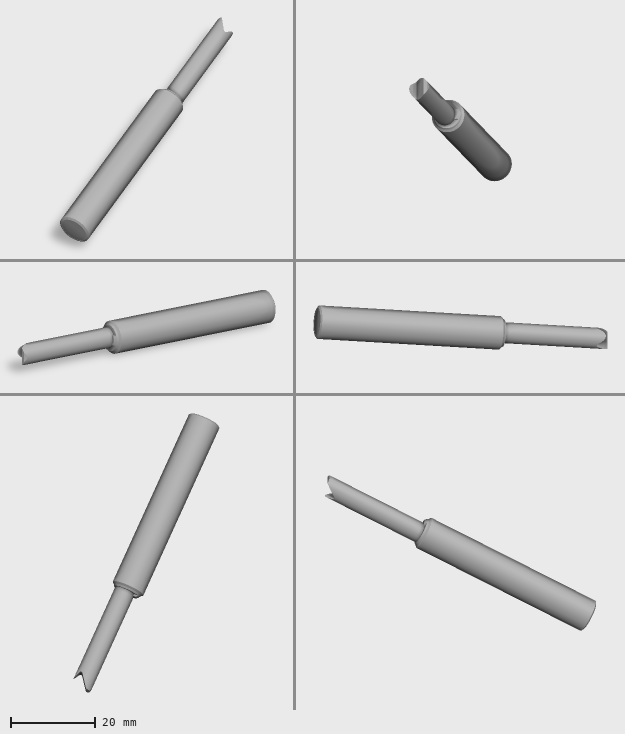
import cadquery as cq
import math

total_length = 71.15
barrel_radius = 8.0 / 2
plunger_radius = 5 / 2
plunger_offset_x = 0.4
slug_radius = 6.5 / 2

barrel_length = 44.6
rear_lip_depth = 0.35
rear_slug_recess = 0.1
rear_lip_radius = 3.5
front_lip_depth = 0.4
front_lip_radius = 3.5
shoulder_y = 45.45

tab_height = 0.5
tab_width = 2.4
tab_inner_x = 1.9

notch_start_x = -1.35
notch_root_x = 1.4
notch_root_depth = 3.6
notch_root_radius = 0.4
wing_angle = math.radians(65)
tip_flat_width = 0.3
tip_flat_length = 0.7


def revolve_profile(points):
    """Revolve (radius, Y) points around the Y axis."""
    return cq.Workplane("XY").polyline(points).close().revolve(360, (0, 0), (0, 1))


def make_barrel():
    return revolve_profile([
        (0, rear_slug_recess),
        (slug_radius, rear_slug_recess),
        (slug_radius, 0),
        (rear_lip_radius, 0),
        (barrel_radius, rear_lip_depth),
        (barrel_radius, barrel_length),
        (front_lip_radius, barrel_length + front_lip_depth),
        (slug_radius, shoulder_y),
        (0, shoulder_y),
    ])


def make_key_tab():
    """A slice of a 45 degree cone standing on the shoulder."""
    cone = revolve_profile([
        (0, shoulder_y),
        (slug_radius, shoulder_y),
        (slug_radius - tab_height, shoulder_y + tab_height),
        (0, shoulder_y + tab_height),
    ])
    slice_depth = slug_radius - tab_inner_x
    limits = cq.Workplane("XY").box(slice_depth, tab_height, tab_width).translate(
        (-(slug_radius + tab_inner_x) / 2, shoulder_y + tab_height / 2, 0)
    )
    return cone.intersect(limits)


def make_plunger():
    return revolve_profile([
        (0, shoulder_y),
        (plunger_radius, shoulder_y),
        (plunger_radius, total_length),
        (0, total_length),
    ])


def make_tip_notch():
    root_y = total_length - notch_root_depth
    wing_end_x = notch_root_x + notch_root_depth / math.tan(wing_angle)
    return (
        cq.Workplane("XY")
        .moveTo(notch_start_x, total_length)
        .lineTo(notch_root_x, root_y)
        .lineTo(wing_end_x, total_length)
        .close()
        .extrude(plunger_radius, both=True)
        .edges(cq.selectors.NearestToPointSelector((notch_root_x, root_y, 0)))
        .fillet(notch_root_radius)
    )


def make_tip_flat():
    """Wedge that bevels the -X edge of the tip."""
    return (
        cq.Workplane("XY")
        .moveTo(-plunger_radius, total_length)
        .lineTo(-plunger_radius + tip_flat_width, total_length)
        .lineTo(-plunger_radius, total_length - tip_flat_length)
        .close()
        .extrude(plunger_radius, both=True)
    )


plunger = make_plunger().cut(make_tip_notch()).cut(make_tip_flat())
plunger = plunger.translate((plunger_offset_x, 0, 0))
result = make_barrel().union(plunger).union(make_key_tab())